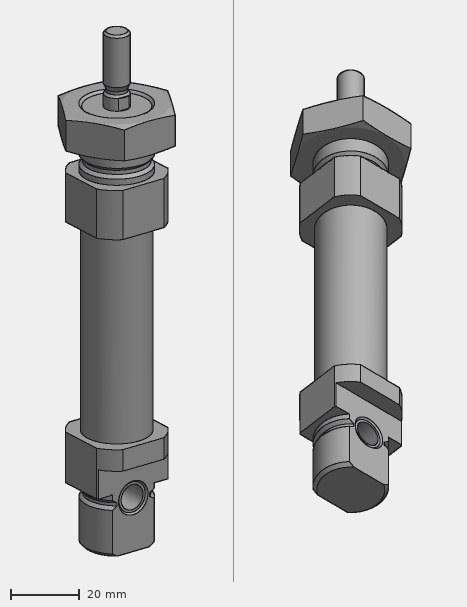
import cadquery as cq
import math

pivot_z = 17.0
rear_groove_z = 14.9
rear_flange_z = 19.8
rear_shoulder_z = 29.0
tube_bottom_z = 35.8
tube_top_z = 102.2
front_cap_top_z = 117.8
front_groove_z = 119.7
nut_bottom_z = 128.0
nut_height = 11.0
nut_top_z = nut_bottom_z + nut_height
collar_z = 142.2
neck_bottom_z = 143.0
neck_top_z = 144.0
stud_bottom_z = 145.6
total_height = 162.0

tube_diameter = 21.2
boss_diameter = 22.0
groove_diameter = 20.0
groove_slope = (boss_diameter - groove_diameter) / 2
front_groove_floor = 1.3
rear_groove_floor = 1.0
boss_chamfer = 1.1
cap_width = 26.0
cap_corner_diameter = 30.0
rear_flat_width = 16.0
pivot_hole_diameter = 8.0
pivot_recess_diameter = 9.5
pivot_recess_rim_diameter = 10.7

nut_across_flats = 32.0
nut_across_corners = nut_across_flats / math.cos(math.radians(30))
nut_face_diameter = 31.6
nut_corner_drop = 0.6
nut_bore_diameter = 20.4
nut_countersink_diameter = boss_diameter
nut_countersink_depth = (nut_countersink_diameter - nut_bore_diameter) / 2
housing_top_z = nut_top_z - nut_countersink_depth

rod_diameter = 8.0
rod_neck_diameter = 6.5
rod_tip_chamfer = (rod_diameter - rod_neck_diameter) / 2
rod_across_flats = 7.0
rod_bottom_z = tube_top_z


def disc(diameter, bottom_z, top_z):
    """Cylinder on the Z axis between two heights."""
    return cq.Workplane("XY", origin=(0, 0, bottom_z)).circle(diameter / 2).extrude(top_z - bottom_z)


def block(width_x, width_y, bottom_z, top_z):
    """Box centred on the Z axis between two heights."""
    return (
        cq.Workplane("XY", origin=(0, 0, bottom_z))
        .rect(width_x, width_y)
        .extrude(top_z - bottom_z)
    )


def turned(profile):
    """Solid of revolution about Z from (radius, z) points; the profile closes along the axis."""
    bottom_z = profile[0][1]
    top_z = profile[-1][1]
    outline = [(0, bottom_z)] + profile + [(0, top_z)]
    return cq.Workplane("XZ").polyline(outline).close().revolve(360, (0, 0, 0), (0, 1, 0))


def groove_profile(bottom_z, floor_height):
    """Profile points of the flat-floored groove with 45 degree sides, starting at bottom_z."""
    rim = boss_diameter / 2
    floor = groove_diameter / 2
    floor_bottom_z = bottom_z + groove_slope
    floor_top_z = floor_bottom_z + floor_height
    return [
        (rim, bottom_z),
        (floor, floor_bottom_z),
        (floor, floor_top_z),
        (rim, floor_top_z + groove_slope),
    ]


def square_cap(bottom_z, top_z):
    """Square cap whose four corners are rounded by a common cylinder."""
    square = block(cap_width, cap_width, bottom_z, top_z)
    return square.intersect(disc(cap_corner_diameter, bottom_z, top_z))


def make_front_end():
    """Front cap and the grooved boss that carries the nut."""
    rim = boss_diameter / 2
    seat = nut_bore_diameter / 2
    boss = turned(
        [(rim, front_cap_top_z)]
        + groove_profile(front_groove_z, front_groove_floor)
        + [(rim, nut_bottom_z), (seat, nut_bottom_z), (seat, housing_top_z)]
    )
    return square_cap(tube_top_z, front_cap_top_z).union(boss)


def make_rear_end():
    """Rear cap and grooved boss, flattened below the shoulder to take a pivot pin."""
    rim = boss_diameter / 2
    boss = turned(
        [(rim - boss_chamfer, 0), (rim, boss_chamfer)]
        + groove_profile(rear_groove_z, rear_groove_floor)
        + [(rim, rear_flange_z)]
    )
    lower_part = boss.union(square_cap(rear_flange_z, rear_shoulder_z))
    tongue = lower_part.intersect(block(rear_flat_width, cap_width, 0, rear_shoulder_z))
    return tongue.union(square_cap(rear_shoulder_z, tube_bottom_z)).cut(make_pivot_hole())


def make_pivot_hole():
    """Hole along X through the rear tongue, with a shallow tapered recess in each flat."""
    hole_radius = pivot_hole_diameter / 2
    recess_radius = pivot_recess_diameter / 2
    rim_radius = pivot_recess_rim_diameter / 2
    half_width = rear_flat_width / 2
    recess_floor = half_width - (rim_radius - recess_radius)
    return (
        cq.Workplane("XY")
        .moveTo(-half_width, 0)
        .lineTo(-half_width, rim_radius)
        .lineTo(-recess_floor, recess_radius)
        .lineTo(-recess_floor, hole_radius)
        .lineTo(recess_floor, hole_radius)
        .lineTo(recess_floor, recess_radius)
        .lineTo(half_width, rim_radius)
        .lineTo(half_width, 0)
        .close()
        .revolve(360, (0, 0, 0), (1, 0, 0))
        .translate((0, 0, pivot_z))
    )


def make_housing():
    """Tube with both end caps and a bore for the rod."""
    tube = disc(tube_diameter, tube_bottom_z, tube_top_z)
    rod_bore = disc(rod_diameter, rod_bottom_z, housing_top_z)
    return make_rear_end().union(tube).union(make_front_end()).cut(rod_bore)


def make_nut():
    """Hexagon nut with two flats facing X, chamfered corners and a countersunk bore."""
    hexagon = (
        cq.Workplane("XY", origin=(0, 0, nut_bottom_z))
        .polygon(6, nut_across_corners)
        .extrude(nut_height)
        .rotate((0, 0, 0), (0, 0, 1), 30)
    )
    face = nut_face_diameter / 2
    corner = nut_across_corners / 2
    corner_cones = turned([
        (face, nut_bottom_z),
        (corner, nut_bottom_z + nut_corner_drop),
        (corner, nut_top_z - nut_corner_drop),
        (face, nut_top_z),
    ])
    bore = nut_bore_diameter / 2
    bore_cutter = turned([
        (bore, nut_bottom_z),
        (bore, housing_top_z),
        (nut_countersink_diameter / 2, nut_top_z),
    ])
    return hexagon.intersect(corner_cones).cut(bore_cutter)


def make_rod():
    """Piston rod with wrench flats, an undercut neck and a threaded stud."""
    outer = rod_diameter / 2
    neck = rod_neck_diameter / 2
    rod = turned([
        (outer, rod_bottom_z),
        (outer, collar_z),
        (neck, neck_bottom_z),
        (neck, neck_top_z),
        (outer, stud_bottom_z),
        (outer, total_height - rod_tip_chamfer),
        (neck, total_height),
    ])
    flat_zone = disc(rod_diameter, housing_top_z, collar_z)
    flat_core = block(rod_across_flats, rod_diameter, housing_top_z, collar_z)
    return rod.cut(flat_zone.cut(flat_core))


housing = make_housing()
nut = make_nut()
rod = make_rod()

result = cq.Compound.makeCompound([housing.val(), nut.val(), rod.val()])